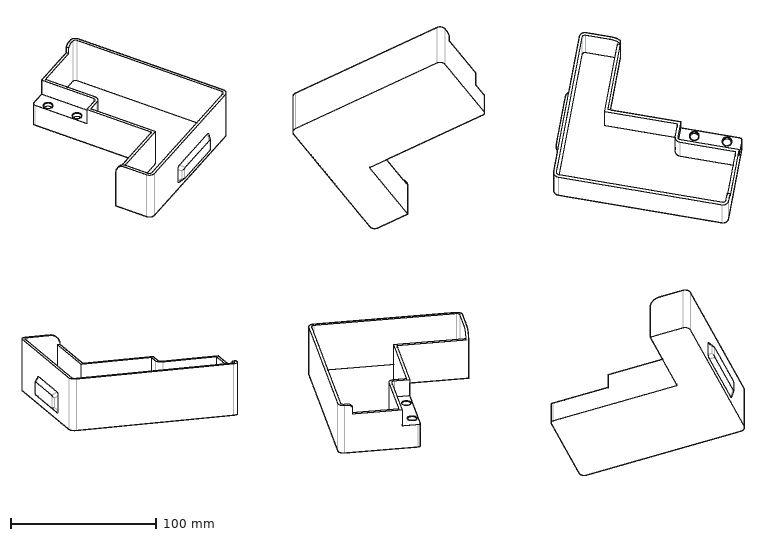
import cadquery as cq
import math

overall_length = 125.5
overall_width = 107.5
body_height = 37.0
lug_projection = 3.0
body_length = overall_length - lug_projection

wall = 2.0
floor_thickness = 1.5
outer_radius = 4.0
inner_radius = outer_radius - wall
ledge_corner_radius = 2.0

leg_left = 94.1
main_front = 50.2

rim_height = 30.0
rim_drop = body_height - rim_height
left_rim_back = 97.8
left_rim_radius = 4.0
left_rim_arc_drop = 2.0

ledge_length = 43.0
ledge_width = 12.9
ledge_height = 17.6
ledge_back = main_front + ledge_width

hole_xs = (10.0, 32.9)
hole_y = main_front + 4.3
hole_diameter = 6.0
hole_depth = 3.0
hole_chamfer = 0.4

lug_front = 36.8
lug_back = 80.5
lug_bottom = 5.0
lug_top = 20.0
lug_flank_angle = 43
lug_end_radius = 3.0


def block(x_min, x_max, y_min, y_max, z_min, z_max):
    """Box given by its limits along each axis."""
    size = (x_max - x_min, y_max - y_min, z_max - z_min)
    return cq.Workplane("XY").box(*size, centered=False).translate((x_min, y_min, z_min))


def round_upright_edge(solid, x, y, radius):
    """Fillet the vertical edge that stands at (x, y)."""
    reach = 0.1
    selector = cq.selectors.BoxSelector(
        (x - reach, y - reach, 0), (x + reach, y + reach, body_height)
    )
    return solid.edges("|Z").edges(selector).fillet(radius)


def make_body():
    main = block(0, body_length, main_front, overall_width, 0, body_height)
    leg = block(leg_left, body_length, 0, overall_width, 0, body_height)
    body = main.union(leg)
    for x, y in ((0, overall_width), (body_length, overall_width), (body_length, 0)):
        body = round_upright_edge(body, x, y, outer_radius)
    return round_upright_edge(body, 0, main_front, ledge_corner_radius)


def make_cavity():
    right = body_length - wall
    back = overall_width - wall
    ledge_wall_right = ledge_length + wall
    ledge_wall_back = ledge_back + wall
    main = block(wall, right, main_front + wall, back, floor_thickness, body_height)
    leg = block(leg_left + wall, right, wall, back, floor_thickness, body_height)
    ledge_block = block(0, ledge_wall_right, 0, ledge_wall_back, 0, body_height)
    cavity = main.union(leg).cut(ledge_block)
    for x, y in ((wall, back), (right, back), (right, wall)):
        cavity = round_upright_edge(cavity, x, y, inner_radius)
    outer_corner_radius = ledge_corner_radius + wall
    return round_upright_edge(cavity, ledge_wall_right, ledge_wall_back, outer_corner_radius)


def make_rim_cut():
    """Material above the lowered rim, with the rounded ends of the tall walls left in place."""
    left = block(0, leg_left, 0, left_rim_back, rim_height, body_height)
    leg = block(0, leg_left + wall, wall, main_front + wall, rim_height, body_height)
    arc_run = math.sqrt(left_rim_radius**2 - (left_rim_radius - left_rim_arc_drop) ** 2)
    tall_end = (
        cq.Workplane("YZ")
        .moveTo(left_rim_back, body_height - left_rim_arc_drop)
        .radiusArc((left_rim_back + arc_run, body_height), left_rim_radius)
        .lineTo(left_rim_back, body_height)
        .close()
        .extrude(wall)
    )
    front_end = (
        cq.Workplane("XZ")
        .moveTo(leg_left, rim_height)
        .radiusArc((leg_left + rim_drop, body_height), rim_drop)
        .lineTo(leg_left, body_height)
        .close()
        .extrude(-wall)
    )
    return left.union(leg).union(tall_end).union(front_end)


def make_ledge_cut():
    cut = block(0, ledge_length, main_front, ledge_back, ledge_height, body_height)
    return round_upright_edge(cut, ledge_length, ledge_back, ledge_corner_radius)


def make_ledge_hole(x):
    hole = cq.Workplane("XY").circle(hole_diameter / 2).extrude(-hole_depth)
    mouth = (
        cq.Workplane("XY")
        .circle(hole_diameter / 2 + hole_chamfer)
        .workplane(offset=-hole_chamfer)
        .circle(hole_diameter / 2)
        .loft()
    )
    return hole.union(mouth).translate((x, hole_y, ledge_height))


def make_lug():
    """Bar with sloping flanks all round and rounded edges on both ends."""
    width = lug_back - lug_front
    height = lug_top - lug_bottom
    lug = (
        cq.Workplane("YZ")
        .rect(width, height)
        .extrude(lug_projection, taper=lug_flank_angle)
    )
    end_edges = lug.faces("<Y or >Y").edges("not <X")
    lug = end_edges.fillet(lug_end_radius)
    return lug.translate((body_length, (lug_front + lug_back) / 2, (lug_bottom + lug_top) / 2))


result = make_body().cut(make_cavity()).cut(make_rim_cut()).cut(make_ledge_cut())
for hole_x in hole_xs:
    result = result.cut(make_ledge_hole(hole_x))
result = result.union(make_lug())